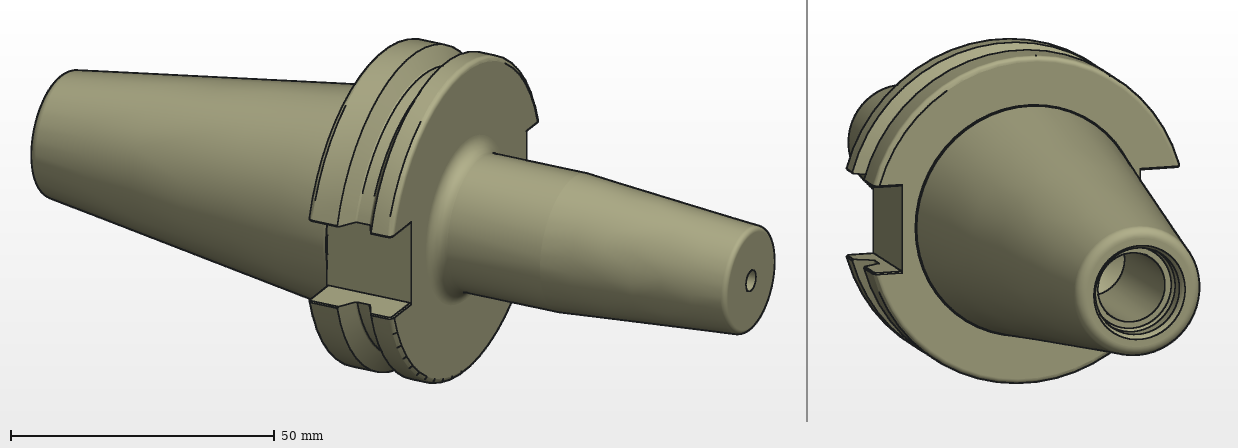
import cadquery as cq
import math

TAPER_LENGTH = 68.25
NOSE_END_X = 80.0

GAUGE_RADIUS = 44.45 / 2
TAPER_RATIO = 7 / 24
TAPER_END_RADIUS = GAUGE_RADIUS - TAPER_LENGTH * TAPER_RATIO / 2
TAPER_END_FILLET = 2.0

COLLAR_START_X = 0.7
COLLAR_RADIUS = 22.4

FLANGE_RADIUS = 63.5 / 2
FLANGE_REAR_X = 1.0
FLANGE_FRONT_X = 19.05
FLANGE_FILLET = 1.0
GROOVE_CENTER_X = 11.0
GROOVE_MOUTH_WIDTH = 7.2
GROOVE_FLANK_ANGLE = 30
GROOVE_FLOOR_RADIUS = 56.25 / 2
GROOVE_FLOOR_FILLET = 0.4
GROOVE_REAR_X = GROOVE_CENTER_X - GROOVE_MOUTH_WIDTH / 2
GROOVE_FRONT_X = GROOVE_CENTER_X + GROOVE_MOUTH_WIDTH / 2

SLOT_WIDTH = 16.6
SLOT_CHAMFER = 0.28
SLOT_FLOOR_MINUS_Y = 22.5
SLOT_FLOOR_PLUS_Y = 25.0

NECK_RADIUS = 27.0 / 2
NECK_FILLET = 3.0
NOSE_END_RADIUS = 21.0 / 2
NOSE_ANGLE = 4.5
NOSE_FILLET = 1.0
NOSE_START_X = NOSE_END_X - (NECK_RADIUS - NOSE_END_RADIUS) / math.tan(math.radians(NOSE_ANGLE))

MOUTH_RADIUS = 9.1
MOUTH_STEP_RADIUS = 8.7
MOUTH_STEP_DEPTH = 0.6
PILOT_RADIUS = 16.78 / 2
PILOT_START_DEPTH = 1.3
PILOT_END_DEPTH = 4.0
SEAT_RADIUS = 16.28 / 2
SEAT_START_DEPTH = 4.5
SEAT_FLOOR_RADIUS = 7.94
SEAT_FLOOR_DEPTH = 5.0
THREAD_RADIUS = 13.39 / 2
THREAD_DEPTH = 30.0
DRILL_POINT_ANGLE = 118

PASSAGE_RADIUS = 4.13 / 2

EDGE_MARGIN = 0.05


def revolve_about_x(profile):
    """Turn a closed profile of (x, radius) points about the X axis."""
    return profile.close().revolve(360, (0, 0, 0), (1, 0, 0))


def make_body():
    """Turned outer shape, solid inside."""
    flank_run = (FLANGE_RADIUS - GROOVE_FLOOR_RADIUS) * math.tan(math.radians(GROOVE_FLANK_ANGLE))
    rim_radius = FLANGE_RADIUS - FLANGE_FILLET
    return revolve_about_x(
        cq.Workplane("XY")
        .moveTo(-TAPER_LENGTH, 0)
        .lineTo(-TAPER_LENGTH, TAPER_END_RADIUS)
        .lineTo(0, GAUGE_RADIUS)
        .lineTo(COLLAR_START_X, GAUGE_RADIUS)
        .lineTo(COLLAR_START_X, COLLAR_RADIUS)
        .lineTo(FLANGE_REAR_X, COLLAR_RADIUS)
        .lineTo(FLANGE_REAR_X, rim_radius)
        .radiusArc((FLANGE_REAR_X + FLANGE_FILLET, FLANGE_RADIUS), FLANGE_FILLET)
        .lineTo(GROOVE_REAR_X, FLANGE_RADIUS)
        .lineTo(GROOVE_REAR_X + flank_run, GROOVE_FLOOR_RADIUS)
        .lineTo(GROOVE_FRONT_X - flank_run, GROOVE_FLOOR_RADIUS)
        .lineTo(GROOVE_FRONT_X, FLANGE_RADIUS)
        .lineTo(FLANGE_FRONT_X - FLANGE_FILLET, FLANGE_RADIUS)
        .radiusArc((FLANGE_FRONT_X, rim_radius), FLANGE_FILLET)
        .lineTo(FLANGE_FRONT_X, NECK_RADIUS + NECK_FILLET)
        .radiusArc((FLANGE_FRONT_X + NECK_FILLET, NECK_RADIUS), -NECK_FILLET)
        .lineTo(NOSE_START_X, NECK_RADIUS)
        .lineTo(NOSE_END_X, NOSE_END_RADIUS)
        .lineTo(NOSE_END_X, 0)
    )


def edges_inside(low, high):
    """Selector for edges that lie wholly inside the box between two corners."""
    padded_low = tuple(value - EDGE_MARGIN for value in low)
    padded_high = tuple(value + EDGE_MARGIN for value in high)
    return cq.selectors.BoxSelector(padded_low, padded_high, boundingbox=True)


def round_ends(body):
    """Round the outer rims of the taper end and of the nose."""
    body = body.faces("<X").edges().fillet(TAPER_END_FILLET)
    return body.faces(">X").edges().fillet(NOSE_FILLET)


def round_groove(body):
    """Round the two corners where the groove flanks meet its floor."""
    reach = GROOVE_FLOOR_RADIUS
    floor_corners = edges_inside((GROOVE_REAR_X, -reach, -reach), (GROOVE_FRONT_X, reach, reach))
    return body.edges(floor_corners).fillet(GROOVE_FLOOR_FILLET)


def slot_span(side):
    """Y range of a drive slot, lower value first; side is -1 or +1."""
    if side < 0:
        return -FLANGE_RADIUS, -SLOT_FLOOR_MINUS_Y
    return SLOT_FLOOR_PLUS_Y, FLANGE_RADIUS


def cut_slot(body, side):
    """Cut one drive slot across the whole flange."""
    y_low, y_high = slot_span(side)
    cutter = cq.Workplane("XY").box(
        FLANGE_FRONT_X - FLANGE_REAR_X, y_high - y_low, SLOT_WIDTH, centered=(False, False, True)
    )
    return body.cut(cutter.translate((FLANGE_REAR_X, y_low, 0)))


def chamfer_slot(body, side):
    """Break the outer edges of both slot walls, leaving the V groove edges sharp."""
    y_low, y_high = slot_span(side)
    lands = ((FLANGE_REAR_X, GROOVE_REAR_X), (GROOVE_FRONT_X, FLANGE_FRONT_X))
    for z in (-SLOT_WIDTH / 2, SLOT_WIDTH / 2):
        for x_low, x_high in lands:
            wall_edges = edges_inside((x_low, y_low, z), (x_high, y_high, z))
            body = body.edges(wall_edges).chamfer(SLOT_CHAMFER)
    return body


def make_bores():
    """Cutter for the pull-stud socket and the coolant passage."""
    end_x = -TAPER_LENGTH
    drill_point = (THREAD_RADIUS - PASSAGE_RADIUS) / math.tan(math.radians(DRILL_POINT_ANGLE / 2))
    return revolve_about_x(
        cq.Workplane("XY")
        .moveTo(end_x, 0)
        .lineTo(end_x, MOUTH_RADIUS)
        .lineTo(end_x + MOUTH_STEP_DEPTH, MOUTH_STEP_RADIUS)
        .lineTo(end_x + PILOT_START_DEPTH, PILOT_RADIUS)
        .lineTo(end_x + PILOT_END_DEPTH, PILOT_RADIUS)
        .lineTo(end_x + SEAT_START_DEPTH, SEAT_RADIUS)
        .lineTo(end_x + SEAT_FLOOR_DEPTH, SEAT_FLOOR_RADIUS)
        .lineTo(end_x + SEAT_FLOOR_DEPTH, THREAD_RADIUS)
        .lineTo(end_x + THREAD_DEPTH, THREAD_RADIUS)
        .lineTo(end_x + THREAD_DEPTH + drill_point, PASSAGE_RADIUS)
        .lineTo(NOSE_END_X, PASSAGE_RADIUS)
        .lineTo(NOSE_END_X, 0)
    )


holder = round_groove(round_ends(make_body()))
for slot_side in (-1, 1):
    holder = chamfer_slot(cut_slot(holder, slot_side), slot_side)

result = holder.cut(make_bores())